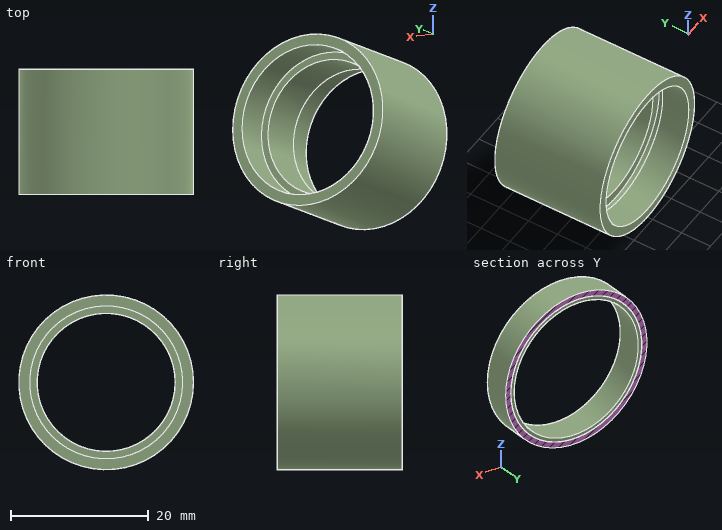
import cadquery as cq

outer_diameter = 25.4
length = 18.2
bore_diameter = 20.0
counterbore_diameter = 22.2
counterbore_depth = 5.5
relief_diameter = 23.4
relief_width = 1.0

front_face_y = -length / 2
front_shoulder_y = front_face_y + counterbore_depth
rear_shoulder_y = length / 2 - counterbore_depth


def cylinder_along_y(diameter, start_y, extent):
    """Solid cylinder on the Y axis, running from start_y towards +Y."""
    plane = cq.Workplane(cq.Plane(origin=(0, start_y, 0), xDir=(1, 0, 0), normal=(0, 1, 0)))
    return plane.circle(diameter / 2).extrude(extent)


sleeve = cylinder_along_y(outer_diameter, front_face_y, length)
bore = cylinder_along_y(bore_diameter, front_face_y, length)
result = sleeve.cut(bore)

for counterbore_start_y in (front_face_y, rear_shoulder_y):
    result = result.cut(cylinder_along_y(counterbore_diameter, counterbore_start_y, counterbore_depth))

result = result.cut(cylinder_along_y(relief_diameter, front_shoulder_y - relief_width, relief_width))